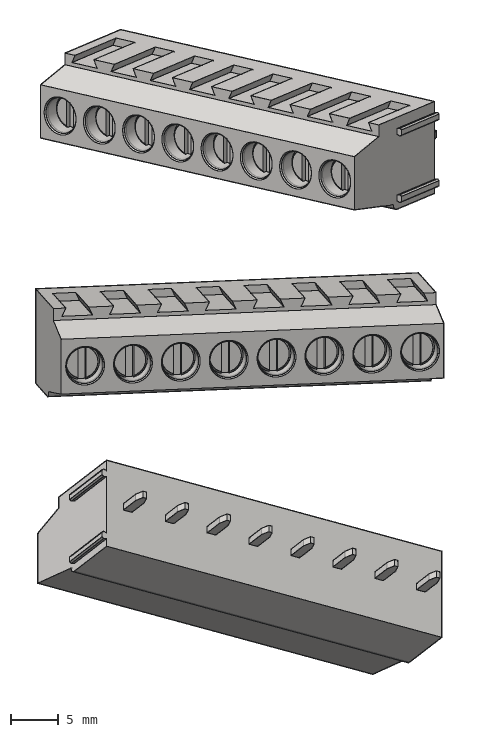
import cadquery as cq


pole_count = 8
overall_length = 41.2
rib_height = 0.58
housing_length = overall_length - rib_height
pitch = housing_length / pole_count
housing_depth = 14.1
housing_height = 10.1

step_y = 4.3
step_drop = 1.28
upper_slope_drop = 1.07
front_bottom_z = 1.9
foot_height = 0.65
foot_front_y = 6.85

groove_depth = 0.85
groove_top_width = 2.45
groove_floor_width = 3.25
groove_back_wall = 2.6

screw_z = 4.82
mouth_radius = 2.05
mouth_chamfer_depth = 0.15
bore_radius = 1.95
bore_lip_depth = 0.4
inner_bore_radius = 1.9
screw_face_radius = 1.7
screw_face_depth = 1.75
screw_bevel_depth = 0.2
slot_width = 0.85
slot_depth = 0.6

pin_length = 3.5
pin_width = 1.05
pin_thickness = 0.75
pin_tip_width = 0.4
pin_taper_length = 1.0
pin_z = 5.15

rib_length = 6.6
rib_root_width = 0.65
rib_width = 0.85
rib_crown_width = 0.58
rib_widest_height = 0.37
rib_heights = (1.25, 8.55)


def make_housing():
    """Extrude the end profile; the foot has a rounded front edge."""
    step_z = housing_height - step_drop
    profile = (
        cq.Workplane("YZ")
        .moveTo(housing_depth, 0)
        .lineTo(housing_depth, housing_height)
        .lineTo(step_y, housing_height)
        .lineTo(step_y, step_z)
        .lineTo(0, step_z - upper_slope_drop)
        .lineTo(0, front_bottom_z)
        .lineTo(foot_front_y, foot_height)
        .radiusArc((foot_front_y + foot_height, 0), -foot_height)
        .close()
    )
    return profile.extrude(housing_length)


def make_groove(x):
    """Dovetail cutter, open at the front and closed by the back wall."""
    half_top = groove_top_width / 2
    half_floor = groove_floor_width / 2
    floor_z = housing_height - groove_depth
    back_y = housing_depth - groove_back_wall
    section = [
        (x - half_top, housing_height),
        (x + half_top, housing_height),
        (x + half_floor, floor_z),
        (x - half_floor, floor_z),
    ]
    return cq.Workplane("XZ").polyline(section).close().extrude(-back_y)


def make_screw_opening(x):
    """Chamfered, slightly tapered mouth and a bore down to a bevelled screw head with a driver slot."""
    bore = (
        cq.Workplane("XY")
        .moveTo(0, 0)
        .lineTo(mouth_radius, 0)
        .lineTo(bore_radius, mouth_chamfer_depth)
        .lineTo(inner_bore_radius, bore_lip_depth)
        .lineTo(inner_bore_radius, screw_face_depth + screw_bevel_depth)
        .lineTo(screw_face_radius, screw_face_depth)
        .lineTo(0, screw_face_depth)
        .close()
        .revolve(360, (0, 0, 0), (0, 1, 0))
    )
    slot_bottom = screw_face_depth + slot_depth
    slot_ends = cq.Workplane("XZ").circle(inner_bore_radius).extrude(-slot_bottom)
    slot_bar = cq.Workplane("XZ").rect(slot_width, 2 * mouth_radius).extrude(-slot_bottom)
    return bore.union(slot_ends.intersect(slot_bar)).translate((x, 0, screw_z))


def make_pin(x):
    """Flat pin whose sides taper to a blunt tip."""
    tip_y = housing_depth + pin_length
    taper_y = tip_y - pin_taper_length
    outline = [
        (x - pin_width / 2, housing_depth),
        (x - pin_width / 2, taper_y),
        (x - pin_tip_width / 2, tip_y),
        (x + pin_tip_width / 2, tip_y),
        (x + pin_width / 2, taper_y),
        (x + pin_width / 2, housing_depth),
    ]
    plane = cq.Workplane("XY").workplane(offset=pin_z - pin_thickness / 2)
    return plane.polyline(outline).close().extrude(pin_thickness)


def make_rib(z):
    """Coupling rib that widens from its root and narrows again at its crown."""
    widest_x = housing_length + rib_widest_height
    section = [
        (housing_length, z - rib_root_width / 2),
        (widest_x, z - rib_width / 2),
        (overall_length, z - rib_crown_width / 2),
        (overall_length, z + rib_crown_width / 2),
        (widest_x, z + rib_width / 2),
        (housing_length, z + rib_root_width / 2),
    ]
    back_plane = cq.Workplane("XZ", origin=(0, housing_depth, 0))
    return back_plane.polyline(section).close().extrude(rib_length)


result = make_housing()
for pole in range(pole_count):
    pole_x = (pole + 0.5) * pitch
    result = result.cut(make_groove(pole_x))
    result = result.cut(make_screw_opening(pole_x))
    result = result.union(make_pin(pole_x))
for rib_z in rib_heights:
    result = result.union(make_rib(rib_z))